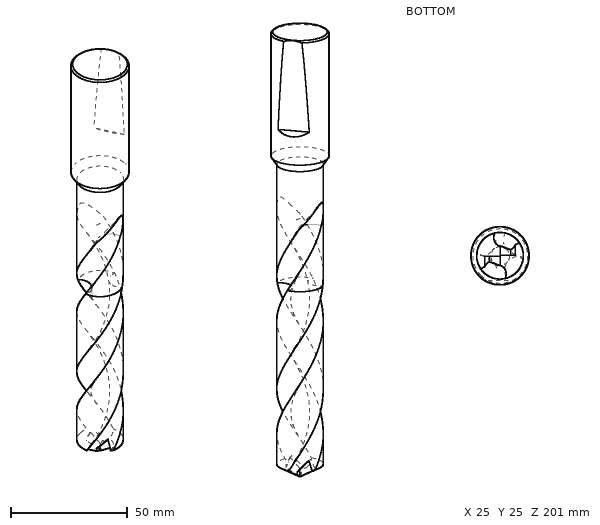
import cadquery as cq
import math

overall_length = 201.0
shank_diameter = 25.0
shank_length = 56.0
shank_chamfer = 0.8
neck_cone_length = 3.75
drill_diameter = 20.0
point_angle = 120.0
split_height = 87.0

flute_count = 2
flute_lead = 102.0
flute_radius = 5.9
flute_center_radius = 9.9
flute_front_height = 101.7
flute_end_height = 115.0
flute_start_height = -5.0
runout_rise = 20.0
runout_outward_slope = 0.3
runout_sideways_slope = 0.9

gash_floor = 0.25
gash_inner_height = 3.6
gash_top_reach = 4.6
gash_top_height = 8.5
gash_outer_reach = 6.5
gash_outer_height = 4.8

notch_tilt = 2.0
notch_end_depth = 0.65
notch_length = 41.3
notch_ramp_angle = 45.0
notch_clearance = 1.0

shank_radius = shank_diameter / 2
drill_radius = drill_diameter / 2
shank_bottom = overall_length - shank_length
neck_top = shank_bottom - neck_cone_length
point_height = drill_radius / math.tan(math.radians(point_angle / 2))
degrees_per_height = 360 / flute_lead


def flute_angle(height):
    """Direction of the first flute, in degrees from +X, at a given height."""
    return -90 + (height - flute_front_height) * degrees_per_height


def flute_section(height):
    """Circle across the axis that the flute is made from, on a plane centered on the axis."""
    return (
        cq.Workplane("XY")
        .workplane(offset=height)
        .transformed(rotate=(0, 0, flute_angle(height)))
        .moveTo(flute_center_radius, 0)
        .circle(flute_radius)
    )


def helical_flute():
    """Flute from below the tip up to the start of the run-out."""
    height = flute_end_height - flute_start_height
    return flute_section(flute_start_height).twistExtrude(height, height * degrees_per_height)


def flute_runout():
    """Straight end of the flute, leaning along the helix and outward from the axis."""
    angle = math.radians(flute_angle(flute_end_height))
    outward = cq.Vector(math.cos(angle), math.sin(angle), 0)
    sideways = cq.Vector(-math.sin(angle), math.cos(angle), 0)
    lean = outward * runout_outward_slope + sideways * runout_sideways_slope
    direction = lean + cq.Vector(0, 0, 1)
    section = flute_section(flute_end_height).val()
    return cq.Workplane(cq.Solid.extrudeLinear(section, [], direction * runout_rise))


def lip_gash():
    """Pocket in front of one cutting lip, open toward -Y and toward the tip."""
    return (
        cq.Workplane("XZ", origin=(0, -gash_floor, 0))
        .lineTo(0, gash_inner_height)
        .lineTo(gash_top_reach, gash_top_height)
        .lineTo(gash_outer_reach, gash_outer_height)
        .lineTo(gash_outer_reach, 0)
        .close()
        .extrude(drill_radius)
    )


def around_axis(tool, index):
    return tool.rotate((0, 0, 0), (0, 0, 1), index * 360 / flute_count)


def cut_around_axis(body, tools):
    for index in range(flute_count):
        for tool in tools:
            body = body.cut(around_axis(tool, index))
    return body


def whistle_notch():
    """Material removed above the tilted flat, closed by a ramp at its lower end."""
    flat_top = shank_radius - notch_end_depth
    flat_bottom = flat_top - notch_length * math.tan(math.radians(notch_tilt))
    outside = shank_radius + notch_clearance
    ramp_drop = (outside - flat_bottom) / math.tan(math.radians(notch_ramp_angle))
    notch_bottom = overall_length - notch_length
    return (
        cq.Workplane("YZ")
        .moveTo(flat_top, overall_length)
        .lineTo(flat_bottom, notch_bottom)
        .lineTo(outside, notch_bottom - ramp_drop)
        .lineTo(outside, overall_length)
        .close()
        .extrude(shank_radius, both=True)
    )


def make_holder(tools):
    """Shank, neck cone and the upper part of the fluted length."""
    blank = (
        cq.Workplane("YZ")
        .moveTo(0, split_height)
        .lineTo(-drill_radius, split_height)
        .lineTo(-drill_radius, neck_top)
        .lineTo(-shank_radius, shank_bottom)
        .lineTo(-shank_radius, overall_length - shank_chamfer)
        .lineTo(-shank_radius + shank_chamfer, overall_length)
        .lineTo(0, overall_length)
        .close()
        .revolve(360, (0, 0, 0), (0, 1, 0))
    )
    return cut_around_axis(blank.cut(whistle_notch()), tools)


def make_cutting_head(tools):
    """Lower fluted length with the conical drill point."""
    blank = (
        cq.Workplane("XZ")
        .lineTo(-drill_radius, point_height)
        .lineTo(-drill_radius, split_height)
        .lineTo(0, split_height)
        .close()
        .revolve(360, (0, 0, 0), (0, 1, 0))
    )
    return cut_around_axis(blank, tools)


flute = helical_flute()
holder = make_holder([flute, flute_runout()])
cutting_head = make_cutting_head([flute, lip_gash()])

result = cq.Compound.makeCompound([holder.val(), cutting_head.val()])